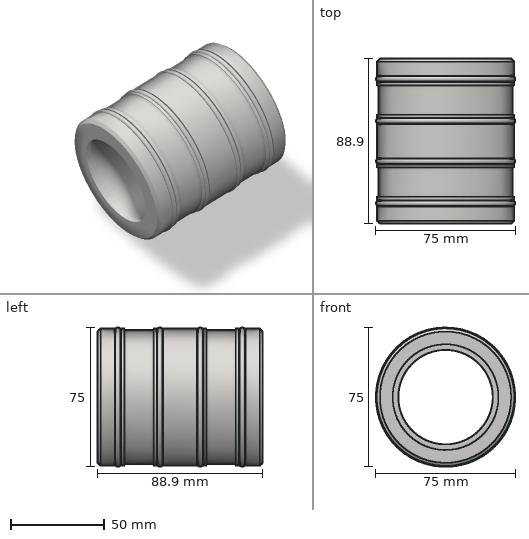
import cadquery as cq

length = 88.9
housing_radius = 37.0
liner_outer_radius = 28.45
bore_radius = 25.3
end_chamfer = 1.7

relief_radius = 36.2
relief_inner_y = 14.1
relief_outer_y = 30.0
relief_fillet = 0.45

ring_outer_radius = 37.5
inner_ring_y = 10.85
outer_ring_y = 33.4
ring_section = 2.7
groove_width = 3.6


def tube(outer_radius, inner_radius, width, centre_y):
    """Tube along Y, centred at the given Y position."""
    profile = cq.Workplane("XZ", origin=(0, centre_y + width / 2, 0))
    return profile.circle(outer_radius).circle(inner_radius).extrude(width)


def groove_cutter(centre_y):
    """Square groove whose floor touches the inside of its O-ring."""
    floor_radius = ring_outer_radius - ring_section
    return tube(ring_outer_radius, floor_radius, groove_width, centre_y)


def relief_cutter(side):
    """Relief band with concave fillets where its floor meets its walls."""
    width = relief_outer_y - relief_inner_y
    centre_y = side * (relief_outer_y + relief_inner_y) / 2
    band = tube(ring_outer_radius, relief_radius, width, centre_y)
    floor_edges = cq.selectors.RadiusNthSelector(0)
    return band.edges(floor_edges).fillet(relief_fillet)


def make_housing(ring_positions):
    """Chamfered sleeve with relief bands and O-ring grooves."""
    body = tube(housing_radius, liner_outer_radius, length, 0)
    outer_end_edges = cq.selectors.RadiusNthSelector(-1)
    body = body.faces("<Y or >Y").edges(outer_end_edges).chamfer(end_chamfer)
    for side in (-1, 1):
        body = body.cut(relief_cutter(side))
    for centre_y in ring_positions:
        body = body.cut(groove_cutter(centre_y))
    return body


def make_liner():
    """Plain bearing liner, flush with both ends of the housing."""
    return tube(liner_outer_radius, bore_radius, length, 0)


def make_o_ring(centre_y):
    """O-ring of circular section around the Y axis."""
    section_radius = ring_section / 2
    centre_radius = ring_outer_radius - section_radius
    profile = cq.Workplane("XY").center(centre_radius, centre_y).circle(section_radius)
    return profile.revolve(360, (-centre_radius, 0), (-centre_radius, 1))


ring_positions = [-outer_ring_y, -inner_ring_y, inner_ring_y, outer_ring_y]

housing = make_housing(ring_positions)
liner = make_liner()
o_rings = [make_o_ring(centre_y) for centre_y in ring_positions]

result = cq.Compound.makeCompound([
    housing.val(),
    liner.val(),
    *[ring.val() for ring in o_rings],
])